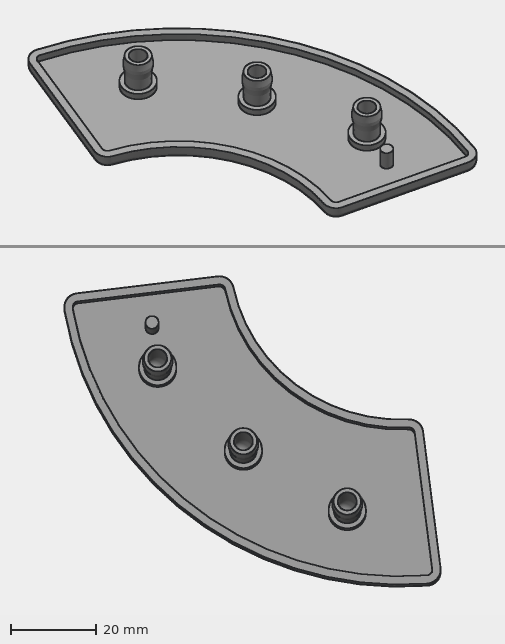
import cadquery as cq
import math

outer_radius = 80.0
inner_radius = outer_radius / 2
corner_radius = 3.4
rim_height = 4.0
wall = 2.0
floor = 2.0
bottom_round = 2.0
half_angle = math.radians(45)

post_height = 12.0
shank_radius = 3.2
bulge_radius = 3.5
bulge_start = 7.0
bulge_bottom = 9.0
bulge_top = 10.0
collar_radius = 4.4
collar_top = 3.7
bore_radius = 2.2
bore_bottom = floor
side_post_x = 28.2
side_post_y = 56.5
middle_post_y = (outer_radius + inner_radius) / 2
post_places = [(-side_post_x, side_post_y), (0, middle_post_y), (side_post_x, side_post_y)]

pin_radius = 1.5
pin_top = 7.0
pin_place = (35.3, 49.4)


def sector(inset, height):
    """Rounded sector prism whose sides are moved inward by inset."""
    big = outer_radius - inset
    small = inner_radius + inset

    def end_point(radius):
        angle = half_angle - math.asin(inset / radius)
        return radius * math.sin(angle), radius * math.cos(angle)

    big_x, big_y = end_point(big)
    small_x, small_y = end_point(small)
    return (
        cq.Workplane("XY")
        .moveTo(-big_x, big_y)
        .threePointArc((0, big), (big_x, big_y))
        .lineTo(small_x, small_y)
        .threePointArc((0, small), (-small_x, small_y))
        .close()
        .extrude(height)
        .edges("|Z")
        .fillet(corner_radius - inset)
    )


def make_tray():
    body = sector(0, rim_height).faces("<Z").edges().fillet(bottom_round)
    pocket = sector(wall, rim_height).translate((0, 0, floor))
    return body.cut(pocket)


def make_post():
    """Collared post with a barbed head and a round-bottomed bore, revolved about Z."""
    bore_round_top = bore_bottom + bore_radius
    diagonal = bore_radius * math.sqrt(0.5)
    return (
        cq.Workplane("XZ")
        .moveTo(0, floor / 2)
        .lineTo(collar_radius, floor / 2)
        .lineTo(collar_radius, collar_top)
        .lineTo(shank_radius, collar_top)
        .lineTo(shank_radius, bulge_start)
        .lineTo(bulge_radius, bulge_bottom)
        .lineTo(bulge_radius, bulge_top)
        .lineTo(shank_radius, post_height)
        .lineTo(bore_radius, post_height)
        .lineTo(bore_radius, bore_round_top)
        .threePointArc((diagonal, bore_round_top - diagonal), (0, bore_bottom))
        .close()
        .revolve(360, (0, 0, 0), (0, 1, 0))
    )


def make_pin():
    pin = cq.Workplane("XY").workplane(offset=floor / 2).center(*pin_place)
    return pin.circle(pin_radius).extrude(pin_top - floor / 2)


result = make_tray().union(make_pin())
for x, y in post_places:
    result = result.union(make_post().translate((x, y, 0)))